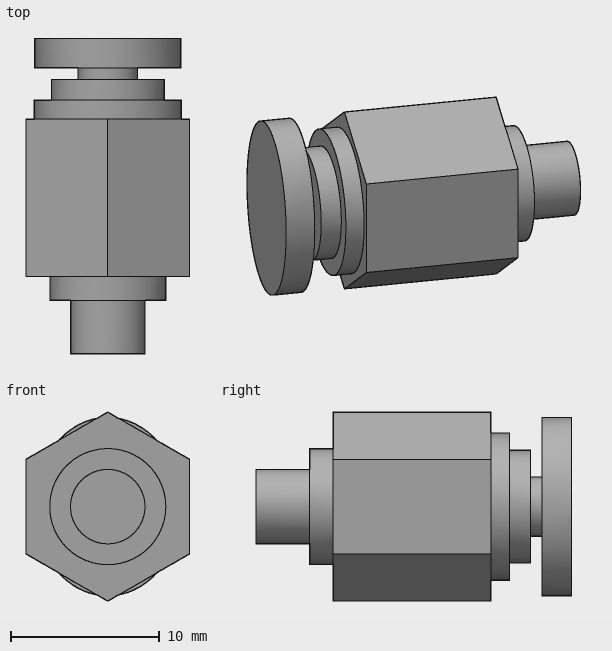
import cadquery as cq
import math

hex_across_flats = 11.0
hex_length = 10.58

front_sections = [
    (7.8, 1.6),
    (5.0, 3.6),
]
rear_sections = [
    (9.9, 1.27),
    (7.6, 1.4),
    (4.0, 0.76),
]

button_width = 9.84
button_height = 12.0
button_length = 2.0


def section_plane(y):
    """Plane across the axis at y, with its normal toward +Y."""
    return cq.Workplane(cq.Plane(origin=(0, y, 0), xDir=(1, 0, 0), normal=(0, 1, 0)))


def hexagon_body():
    """Hexagon with its corners at the top and bottom and flats facing +X and -X."""
    corner_diameter = hex_across_flats / math.cos(math.pi / 6)
    return (
        section_plane(0)
        .transformed(rotate=(0, 0, 90))
        .polygon(6, corner_diameter)
        .extrude(hex_length)
    )


result = hexagon_body()

front_y = 0
for diameter, length in front_sections:
    front_y -= length
    result = result.union(section_plane(front_y).circle(diameter / 2).extrude(length))

rear_y = hex_length
for diameter, length in rear_sections:
    result = result.union(section_plane(rear_y).circle(diameter / 2).extrude(length))
    rear_y += length

button = section_plane(rear_y).ellipse(button_width / 2, button_height / 2).extrude(button_length)
result = result.union(button)